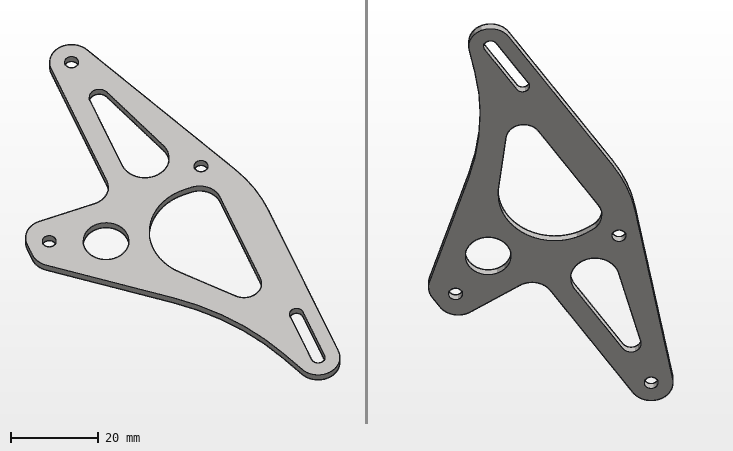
import cadquery as cq
import math

length = 109.0
width = 55.0
thickness = 2.0
lug_radius = 5.0
hole_diameter = 3.2
large_hole_diameter = 10.5
slot_width = hole_diameter

arm_lower_edge = 23.7
leg_left_edge = 44.4
leg_flat_length = 3.3
crown_radius = 34.9
crown_x = 60.9
sweep_radius = 60.0
sweep_x = 122.2
sweep_y = -12.8
lug_y = arm_lower_edge + lug_radius
leg_left_x = leg_left_edge + lug_radius
tip_x = length - lug_radius
tip_y = width - lug_radius

lug_hole = (lug_radius, lug_y)
upper_hole = (43.5, 45.2)
leg_hole = (50.5, lug_radius)
large_hole = (55.3, 17.1)
slot_pitch = 13.3

arm_window_bottom = 28.6
arm_window_small_radius = 2.3
arm_window_large_radius = 5.6
arm_window_small_x = 16.7
arm_window_large_x = 36.6

main_window_left = 48.3
main_window_top = 46.0
main_window_upper_radius = 5.0
main_window_right_radius = 4.0
main_window_right_x = 78.2
main_window_lower_radius = 13.0
main_window_lower_y = 39.4


def beside(x, y, radius, heading):
    """Point on a circle to the left of a clockwise traveller with this heading."""
    return (x - radius * math.sin(heading), y + radius * math.cos(heading))


def tangent_heading(start, end):
    """Heading of the tangent joining two circles given as (x, y, signed radius)."""
    dx = end[0] - start[0]
    dy = end[1] - start[1]
    return math.atan2(dy, dx) - math.asin((start[2] - end[2]) / math.hypot(dx, dy))


def tangent_plate(circles):
    """Plate bounded by clockwise arcs and tangents; negative radii are concave."""
    count = len(circles)
    headings = [tangent_heading(circles[i], circles[(i + 1) % count]) for i in range(count)]
    profile = cq.Workplane("XY").moveTo(*beside(*circles[0], headings[-1]))
    for i, (x, y, radius) in enumerate(circles):
        incoming = headings[i - 1]
        direction = math.copysign(1, radius)
        turn = direction * ((incoming - headings[i]) * direction % (2 * math.pi))
        if i > 0:
            profile = profile.lineTo(*beside(x, y, radius, incoming))
        middle = beside(x, y, radius, incoming - turn / 2)
        profile = profile.threePointArc(middle, beside(x, y, radius, headings[i]))
    return profile.close().extrude(thickness)


plate = tangent_plate([
    (lug_radius, lug_y, lug_radius),
    (crown_x, width - crown_radius, crown_radius),
    (tip_x, tip_y, lug_radius),
    (sweep_x, sweep_y, -sweep_radius),
    (leg_left_x + leg_flat_length, lug_radius, lug_radius),
    (leg_left_x, lug_radius, lug_radius),
    (leg_left_edge - lug_radius, arm_lower_edge - lug_radius, -lug_radius),
])

arm_window = tangent_plate([
    (arm_window_small_x, arm_window_bottom + arm_window_small_radius, arm_window_small_radius),
    (arm_window_large_x, arm_window_bottom + arm_window_large_radius, arm_window_large_radius),
])

main_window = tangent_plate([
    (main_window_left + main_window_upper_radius, main_window_top - main_window_upper_radius,
     main_window_upper_radius),
    (main_window_right_x, main_window_top - main_window_right_radius, main_window_right_radius),
    (main_window_left + main_window_lower_radius, main_window_lower_y, main_window_lower_radius),
])

small_holes = (
    cq.Workplane("XY")
    .pushPoints([lug_hole, upper_hole, leg_hole])
    .circle(hole_diameter / 2)
    .extrude(thickness)
)
round_opening = cq.Workplane("XY").center(*large_hole).circle(large_hole_diameter / 2).extrude(thickness)

slot = (
    cq.Workplane("XY")
    .center(tip_x - slot_pitch / 2, tip_y)
    .slot2D(slot_pitch + slot_width, slot_width)
    .extrude(thickness)
)

result = plate
for opening in (arm_window, main_window, small_holes, round_opening, slot):
    result = result.cut(opening)